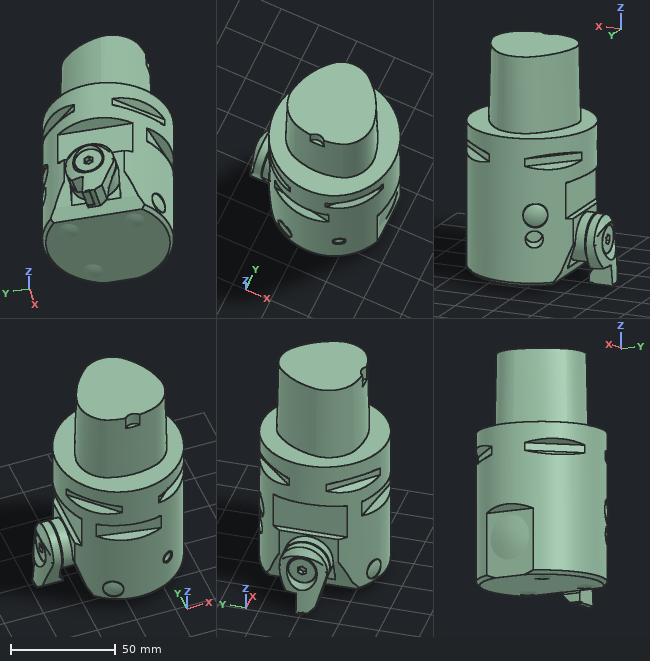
import cadquery as cq
import math


body_radius = 63.0 / 2
body_bottom = -74.0
bottom_chamfer = 1.7
seat_axis_z = -55.0

shank_height = 38.0
shank_base_mean = 22.0
shank_top_mean = 21.2
lobe_height = 1.4
flat_half_angle = 35
key_notch_radius = 4.6
key_notch_depth = 6.7
key_notch_inner_y = -18.0

gripper_floor = 27.8
gripper_top = -10.1
gripper_bottom = -13.8
gripper_flank_angle = 29

pocket_flank_angle = 15
pocket_top = -23.5
side_pocket_floor = 27.3
side_pocket_turn = 10
side_pocket_bottom = -31.5
front_pocket_floor = 25.5
front_pocket_bottom = -41.4

front_flat_x = -27.8
relief_top = -55.1
relief_break_x = -23.9
relief_break_z = -68.0
relief_bottom_x = -20.3

dial_flat_x = 28.7
dial_flat_top = -42.1
dial_radius = 10.9
dial_rise = 1.6

bar_radius = 24.0 / 2
bar_end_x = -32.7
bar_root = 1.2

plug_root = 3.5
front_plug_radius = 10.0 / 2
front_plug_base = 31.0
front_plug_rise = 0.9
front_plug_angle = 245
front_plug_z = -65.7
back_plug_radius = 11.8 / 2
back_plug_base = 30.2
back_plug_rise = 1.7
back_plug_angle = 116.5
back_plug_z = -38.5
bottom_plug_radius = 10.0 / 2
bottom_plug_rise = 0.8
bottom_plug_places = [(-13.0, -16.1), (-13.0, 16.1), (18.6, 12.0)]

clamp_hole_radius = 8.5 / 2
clamp_hole_angle = 115.5
clamp_hole_z = -50.3
clamp_hole_depth = 9.3
nozzle_angle = 299
nozzle_radius = 6.3 / 2
nozzle_cup_radius = 5.0 / 2
nozzle_bore_radius = 1.0 / 2
nozzle_step = 0.3
nozzle_cup_depth = 1.4
nozzle_bore_depth = 2.3

head_radius = 23.8 / 2
head_back_x = -33.3
head_rim_x = -37.5
head_face_x = -41.4
head_face_radius = 20.9
head_face_tilt = 4.4
head_stock_x = -46.4
blade_edge_y = 2.2
blade_flank_y = -7.1
blade_flank_z = -73.7
blade_corner_y = -3.7
blade_bottom = -77.0
foot_back_x = -30.7
foot_slope_top = -68.7
foot_slope_bottom = -72.7
heel_y = 7.0
heel_bottom = -68.5
heel_front = -66.4

overall_width = 74.7
tip_x = body_radius - overall_width
tip_bottom = -78.0
tip_width = 3.5
tip_back_x = -32.7
tip_top = -75.3
tip_land_bottom = -77.5
tip_front_lean = 0.3
tip_nose_length = 1.9

screw_face_radius = 13.6 / 2
screw_bevel = 0.2
screw_head_radius = screw_face_radius + screw_bevel
screw_rim_x = -39.4
screw_face_x = screw_rim_x - screw_bevel
screw_shank_radius = 8.5 / 2
hex_corner_diameter = 4.8
hex_depth = 2.8

far = 46.4



def polar(radius, angle):
    """XY point at a radius and an angle in degrees."""
    a = math.radians(angle)
    return radius * math.cos(a), radius * math.sin(a)


def prism_y(points):
    """Prism along Y, centred on the tool axis, from an XZ outline."""
    return cq.Workplane("XZ").polyline(points).close().extrude(far, both=True)


def disc_x(start_x, radius, length):
    """Cylinder along X about the X axis; a negative length runs toward -X."""
    return cq.Workplane("YZ").workplane(offset=start_x).circle(radius).extrude(length)


def revolve_x(points):
    """Solid turned about the X axis from (x, radius) points."""
    return cq.Workplane("XZ").polyline(points).close().revolve(360, (0, 0), (1, 0))


def at_seat(shape):
    """Lift a shape built about the X axis to the height of the seat axis."""
    return shape.translate((0, 0, seat_axis_z))


def radial(shape, angle, z):
    """Turn a shape built along +X to an angle about the tool axis, at height z."""
    return shape.rotate((0, 0, 0), (0, 0, 1), angle).translate((0, 0, z))


def dome(base_x, radius, rise):
    """Round plug along +X with a spherical cap whose rim lies at base_x."""
    ball = (radius ** 2 + rise ** 2) / (2 * rise)
    half = math.asin(radius / ball) / 2
    cap_middle = (base_x + rise - ball * (1 - math.cos(half)), ball * math.sin(half))
    return (
        cq.Workplane("XY").moveTo(base_x - plug_root, 0).lineTo(base_x - plug_root, radius)
        .lineTo(base_x, radius).threePointArc(cap_middle, (base_x + rise, 0))
        .close().revolve(360, (0, 0), (1, 0))
    )



def shank_outline(plane, mean):
    """Three-lobed outline of flat and lobe arcs, with one flat toward -Y."""
    join = mean - lobe_height * math.cos(math.radians(3 * flat_half_angle))
    outline = plane.moveTo(*polar(join, 270 - flat_half_angle))
    for flat in (270, 390, 510):
        lobe = flat + 60
        next_flat = flat + 120
        outline = outline.threePointArc(
            polar(mean - lobe_height, flat), polar(join, flat + flat_half_angle)
        )
        outline = outline.threePointArc(
            polar(mean + lobe_height, lobe), polar(join, next_flat - flat_half_angle)
        )
    return outline.close()


def make_shank():
    """Tapered polygon shank with a round key notch at the -Y side of its top."""
    base = shank_outline(cq.Workplane("XY"), shank_base_mean)
    shank = shank_outline(base.workplane(offset=shank_height), shank_top_mean).loft(ruled=True)
    notch = (
        cq.Workplane("XY").workplane(offset=shank_height - key_notch_depth)
        .center(0, key_notch_inner_y - key_notch_radius).circle(key_notch_radius)
        .extrude(2 * key_notch_depth)
    )
    return shank.cut(notch)


def chord_groove(floor, bottom, top, flank_angle):
    """Cutter for a flat-floored groove across the +X side with flanks that open outward."""
    spread = (far - floor) * math.tan(math.radians(flank_angle))
    return prism_y([(floor, bottom), (far, bottom - spread), (far, top + spread), (floor, top)])


def cut_grooves(housing):
    """Gripper grooves and the two flat pockets."""
    gripper = chord_groove(gripper_floor, gripper_bottom, gripper_top, gripper_flank_angle)
    for angle in (45, 135, 225, 315):
        housing = housing.cut(radial(gripper, angle, 0))
    side_pocket = chord_groove(side_pocket_floor, side_pocket_bottom, pocket_top, pocket_flank_angle)
    front_pocket = chord_groove(front_pocket_floor, front_pocket_bottom, pocket_top, pocket_flank_angle)
    housing = housing.cut(radial(side_pocket, 270 - side_pocket_turn, 0))
    return housing.cut(radial(front_pocket, 180, 0))


def cut_sides(housing):
    """Flat and slopes on the cutting side, and the flat under the dial."""
    below = body_bottom - far
    front = prism_y([
        (front_flat_x, front_pocket_bottom), (front_flat_x, relief_top),
        (relief_break_x, relief_break_z), (relief_bottom_x, body_bottom),
        (relief_bottom_x, below), (-far, below), (-far, front_pocket_bottom),
    ])
    dial_side = prism_y([
        (dial_flat_x, dial_flat_top), (far, dial_flat_top + far - dial_flat_x),
        (far, below), (dial_flat_x, below),
    ])
    return housing.cut(front).cut(dial_side)


def add_bar(housing):
    """Round-topped slot in the cutting side with the bar end standing in it."""
    slot_height = seat_axis_z - relief_break_z
    slot_legs = (
        cq.Workplane("YZ").workplane(offset=relief_break_x)
        .center(0, -slot_height / 2).rect(2 * bar_radius, slot_height).extrude(-far)
    )
    slot = disc_x(relief_break_x, bar_radius, -far).union(slot_legs)
    bar = disc_x(bar_end_x, bar_radius, relief_break_x + bar_root - bar_end_x)
    return housing.cut(at_seat(slot)).union(at_seat(bar))


def add_radial_plug(housing, radius, base_x, rise, angle, z):
    """Sink a round hole into the housing wall and fill its bottom with a domed plug."""
    hole = disc_x(base_x, radius, far - base_x)
    housing = housing.cut(radial(hole, angle, z))
    return housing.union(radial(dome(base_x, radius, rise), angle, z))


def add_plugs(housing):
    """Dial cap, the two plugs in the wall and the plugs in the bottom."""
    housing = housing.union(at_seat(dome(dial_flat_x, dial_radius, dial_rise)))
    housing = add_radial_plug(
        housing, front_plug_radius, front_plug_base, front_plug_rise, front_plug_angle, front_plug_z
    )
    housing = add_radial_plug(
        housing, back_plug_radius, back_plug_base, back_plug_rise, back_plug_angle, back_plug_z
    )
    down_plug = dome(0, bottom_plug_radius, bottom_plug_rise).rotate((0, 0, 0), (0, 1, 0), 90)
    for x, y in bottom_plug_places:
        housing = housing.union(down_plug.translate((x, y, body_bottom)))
    return housing


def cut_holes(housing):
    """Radial clamp hole and the stepped coolant nozzle."""
    clamp_hole = disc_x(body_radius - clamp_hole_depth, clamp_hole_radius, far)
    housing = housing.cut(radial(clamp_hole, clamp_hole_angle, clamp_hole_z))

    nozzle_face = math.sqrt(body_radius ** 2 - nozzle_radius ** 2) - nozzle_step
    cup_bottom = nozzle_face - nozzle_cup_depth
    bore_bottom = cup_bottom - nozzle_bore_depth
    nozzle = revolve_x([
        (far, 0), (far, nozzle_radius), (nozzle_face, nozzle_radius),
        (nozzle_face, nozzle_cup_radius), (cup_bottom, nozzle_bore_radius),
        (bore_bottom, nozzle_bore_radius), (bore_bottom, 0),
    ])
    return housing.cut(radial(nozzle, nozzle_angle, seat_axis_z))


def make_housing():
    housing = (
        cq.Workplane("XY").circle(body_radius).extrude(body_bottom)
        .faces("<Z").chamfer(bottom_chamfer)
    )
    housing = cut_grooves(housing)
    housing = cut_sides(housing)
    housing = add_bar(housing)
    housing = add_plugs(housing)
    housing = cut_holes(housing)
    return housing.union(make_shank())



def make_screw_blank():
    """Countersunk screw without its socket."""
    taper_x = screw_rim_x + screw_head_radius - screw_shank_radius
    return at_seat(revolve_x([
        (screw_face_x, 0), (screw_face_x, screw_face_radius), (screw_rim_x, screw_head_radius),
        (taper_x, screw_shank_radius), (head_back_x, screw_shank_radius), (head_back_x, 0),
    ]))


def make_screw():
    socket = (
        cq.Workplane("YZ").workplane(offset=screw_face_x)
        .transformed(rotate=(0, 0, 30)).polygon(6, hex_corner_diameter).extrude(hex_depth)
    )
    return make_screw_blank().cut(at_seat(socket))



def flank_tangent_point():
    """Point where the blade flank leaves the round of the head."""
    dz = blade_flank_z - seat_axis_z
    swing = math.acos(head_radius / math.hypot(blade_flank_y, dz))
    turn = math.atan2(dz, blade_flank_y) - swing
    return head_radius * math.cos(turn), seat_axis_z + head_radius * math.sin(turn)


def make_head_blank():
    """Round head with its blade, and a heel whose edge curves down from the round."""
    blank = (
        cq.Workplane("YZ").workplane(offset=foot_back_x)
        .moveTo(*flank_tangent_point()).lineTo(blade_flank_y, blade_flank_z)
        .lineTo(blade_corner_y, blade_bottom).lineTo(blade_edge_y, blade_bottom)
        .lineTo(blade_edge_y, heel_bottom).lineTo(heel_y, heel_bottom)
    )
    heel_inset = head_radius - heel_y
    heel_drop = seat_axis_z - heel_bottom
    heel_radius = (heel_inset ** 2 + heel_drop ** 2) / (2 * heel_inset)
    half = math.asin(heel_drop / heel_radius) / 2
    heel_middle = (
        head_radius - heel_radius * (1 - math.cos(half)),
        seat_axis_z - heel_radius * math.sin(half),
    )
    return (
        blank.threePointArc(heel_middle, (head_radius, seat_axis_z))
        .threePointArc((0, seat_axis_z + head_radius), flank_tangent_point())
        .close().extrude(head_stock_x - foot_back_x)
    )


def cut_back(head):
    """Flat back of the head, with a slope that leads out to the foot of the blade."""
    above = seat_axis_z + far
    return head.cut(prism_y([
        (head_back_x, above), (head_back_x, foot_slope_top),
        (foot_back_x, foot_slope_bottom), (0, foot_slope_bottom), (0, above),
    ]))


def cut_heel(head):
    """Slope on the underside of the heel, beside the blade."""
    slope = (
        cq.Workplane("XZ").workplane(offset=-blade_edge_y)
        .polyline([(head_back_x, heel_bottom), (head_stock_x, heel_bottom), (head_stock_x, heel_front)])
        .close().extrude(-far)
    )
    return head.cut(slope)


def shape_face(head):
    """Leaning cylindrical front face and the cone around the upper half of the rim."""
    face = (
        cq.Workplane("XY").workplane(offset=-far).center(head_face_x + head_face_radius, 0)
        .circle(head_face_radius).extrude(2 * far)
        .rotate((head_face_x, 0, 0), (head_face_x, 1, 0), head_face_tilt)
    )
    rim_run = head_rim_x - head_stock_x
    rim = revolve_x([
        (head_rim_x, head_radius), (head_stock_x, head_radius - rim_run),
        (head_stock_x, 2 * head_radius), (head_rim_x, 2 * head_radius),
    ])
    upper_half = cq.Workplane("XY").rect(4 * far, 2 * far).extrude(far)
    return head.intersect(at_seat(face)).cut(at_seat(rim.intersect(upper_half)))


def make_tip():
    return (
        cq.Workplane("XZ").workplane(offset=-blade_edge_y)
        .polyline([
            (tip_x, tip_bottom), (tip_x + tip_front_lean, tip_top), (tip_back_x, tip_top),
            (tip_back_x, tip_land_bottom), (tip_x + tip_nose_length, tip_land_bottom),
        ])
        .close().extrude(tip_width)
    )


def make_head():
    head = cut_back(make_head_blank())
    head = cut_heel(head)
    head = shape_face(head)
    head = head.union(make_tip())
    countersink_run = screw_rim_x - head_stock_x
    countersink = revolve_x([
        (screw_rim_x, 0), (screw_rim_x, screw_head_radius),
        (head_stock_x, screw_head_radius + countersink_run), (head_stock_x, 0),
    ])
    return head.cut(at_seat(countersink)).cut(make_screw_blank())


housing = make_housing()
cutting_head = make_head()
screw = make_screw()

result = cq.Compound.makeCompound([
    housing.solids().val(), cutting_head.solids().val(), screw.solids().val(),
])